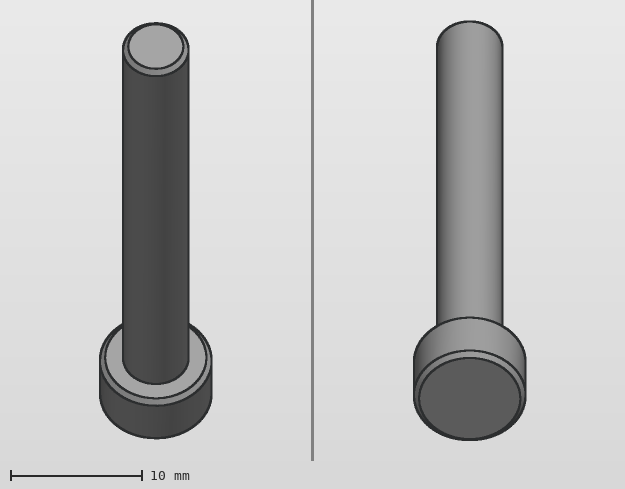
import cadquery as cq

total_length = 45.0
head_diameter = 8.5
head_height = 5.0
shank_diameter = 5.0
head_chamfer = 0.4
tip_chamfer = 0.4

head = cq.Workplane("XY").circle(head_diameter / 2).extrude(head_height)
head = head.faces("<Z or >Z").chamfer(head_chamfer)

shank_length = total_length - head_height
shank = cq.Workplane("XY").workplane(offset=head_height).circle(shank_diameter / 2).extrude(shank_length)
shank = shank.faces(">Z").chamfer(tip_chamfer)

result = head.union(shank)